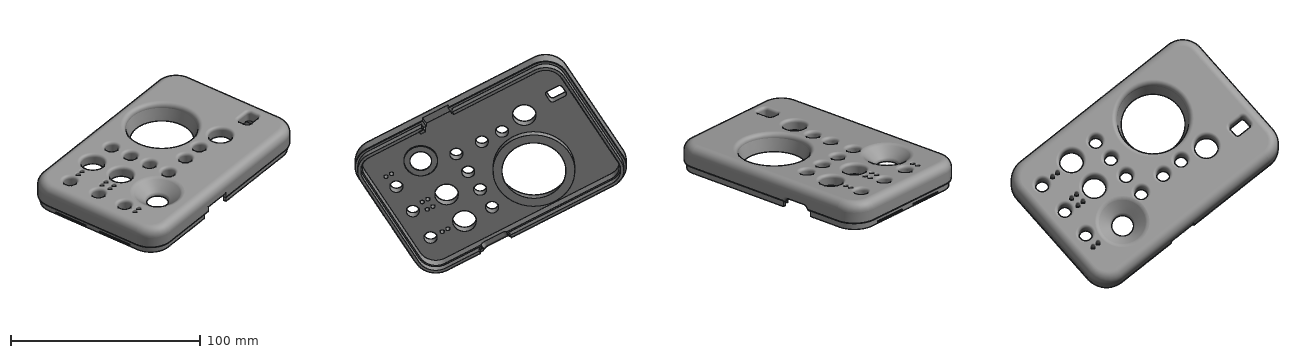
import cadquery as cq
import math

LENGTH_X = 84.6
LENGTH_Y = 127.6
HEIGHT = 15.5
BACK_LEFT_RADIUS = 12.1
BACK_RIGHT_RADIUS = 12.8
FRONT_LEFT_RADIUS = 13.4
FRONT_RIGHT_RADIUS = 12.9
TOP_EDGE_RADIUS = 5.1

SKIRT_BOTTOM = 4.0
SKIRT_CHAMFER_IN = 0.19
SKIRT_CHAMFER_UP = 0.5
LIP_INSET = 1.4
LIP_THICKNESS = 1.7
LIP_OUTER_LAYER = LIP_THICKNESS / 2
INNER_LEDGE = 0.8
LIP_INNER = LIP_INSET + LIP_THICKNESS
WALL = LIP_INNER + INNER_LEDGE
PLATE_THICKNESS = 6.0
CAVITY_TOP = HEIGHT - PLATE_THICKNESS
WALL_INNER_X = LENGTH_X / 2 - WALL

BUTTON_RIM_RADIUS = 1.8
SMALL_RADIUS = 3.5
SMALL_SIDE_HOLES = [(12.8, 14.5), (12.8, 2.2)]
SMALL_ROW_Y = -13.3
SMALL_ROW_PITCH = 12.5
SMALL_ROW_FIRST_X = -24.4
SMALL_ROW_COUNT = 4
SMALL_BOTTOM_Y = -50.7
SMALL_BOTTOM_XS = [-23.9, -5.2, 12.0]
LARGE_RADIUS = 6.3
LARGE_HOLES = [(15.5, 29.7), (-24.2, -30.1), (-5.5, -30.1)]

PIN_RADIUS = 1.08
PIN_RIM_RADIUS = 0.6
PIN_PITCH = 3.5
PIN_PAIRS = [(-23.9, -40.1), (-8.2, -40.1), (-2.9, -40.1), (20.0, -48.9)]

OPENING_CENTER = (-14.5, 18.1)
OPENING_BOTTOM_RADIUS = 16.8
OPENING_TAPER_RADIUS = 19.0
OPENING_RIM_RADIUS = 2.7
OPENING_DEPTH = 9.6
OPENING_BOSS_RADIUS = OPENING_TAPER_RADIUS + OPENING_RIM_RADIUS

BOWL_CENTER = (19.4, -31.4)
BOWL_CONE_TOP_RADIUS = 12.4
BOWL_CONE_BOTTOM_RADIUS = 6.6
BOWL_CONE_SLOPE = math.radians(37.5)
BOWL_RIM_RADIUS = 3.3
BOWL_THROAT_RADIUS = 2.4
BOWL_BOSS_RADIUS = 8.9

WINDOW_CENTER = (18.1, 50.8)
WINDOW_SIZE = (7.1, 10.0)
WINDOW_CORNER_RADIUS = 1.7
WINDOW_RIM_RADIUS = 1.8

NOTCH_Y = -20.5
NOTCH_HALF_WIDTH = 7.8
NOTCH_TOP = 5.7
NOTCH_CORNER_RADIUS = 2.3
NOTCH_EDGE_RADIUS = 1.5
NOTCH_LEG_BOTTOM = 2.4
LIP_NOTCH_SIDE_GAP = 1.7

FAR_NOTCH_END_Y = -16.8
FAR_NOTCH_TOP = 7.1
RIB_LENGTH = 2.9
RIB_DEPTH = 1.9

RIDGE_LENGTH = 19.8
RIDGE_X = 14.4
RIDGE_BOTTOM = 0.3
RIDGE_HEIGHT = 1.1
RIDGE_DEPTH = 0.5
RIDGE_BEVEL_UP = 0.9
RIDGE_BEVEL_IN = 0.4

PICK_MARGIN = 0.4


def rounded_slab(inset, bottom, top):
    """Footprint shrunk by inset, with concentric corners, between two heights."""
    right = LENGTH_X / 2 - inset
    back = LENGTH_Y / 2 - inset
    front_left = FRONT_LEFT_RADIUS - inset
    front_right = FRONT_RIGHT_RADIUS - inset
    back_left = BACK_LEFT_RADIUS - inset
    back_right = BACK_RIGHT_RADIUS - inset
    return (
        cq.Workplane("XY", origin=(0, 0, bottom))
        .moveTo(-right + front_left, -back)
        .lineTo(right - front_right, -back)
        .radiusArc((right, -back + front_right), -front_right)
        .lineTo(right, back - back_right)
        .radiusArc((right - back_right, back), -back_right)
        .lineTo(-right + back_left, back)
        .radiusArc((-right, back - back_left), -back_left)
        .lineTo(-right, -back + front_left)
        .radiusArc((-right + front_left, -back), -front_left)
        .close()
        .extrude(top - bottom)
    )


def box(x_range, y_range, z_range):
    """Axis-aligned block between three pairs of limits."""
    size = [high - low for low, high in (x_range, y_range, z_range)]
    corner = cq.Vector(x_range[0], y_range[0], z_range[0])
    return cq.Workplane(cq.Solid.makeBox(*size, corner))


def cylinder(center, radius, bottom, top):
    """Upright round bar between two heights."""
    return cq.Workplane("XY", origin=(*center, bottom)).circle(radius).extrude(top - bottom)


def turned_about(center, half_profile):
    """Solid of revolution about the vertical axis through center."""
    return half_profile.close().revolve(360, (0, 0, 0), (0, 1, 0)).translate((*center, 0))


def rimmed_hole(center, radius, rim_radius):
    """Cutter for a through hole whose top edge is rounded outwards."""
    profile = (
        cq.Workplane("XZ")
        .lineTo(radius, 0)
        .lineTo(radius, HEIGHT - rim_radius)
        .radiusArc((radius + rim_radius, HEIGHT), rim_radius)
        .lineTo(0, HEIGHT)
    )
    return turned_about(center, profile)


def opening_cutter():
    """Cutter for the big tapered opening with its rounded rim."""
    profile = (
        cq.Workplane("XZ")
        .lineTo(OPENING_BOTTOM_RADIUS, 0)
        .lineTo(OPENING_BOTTOM_RADIUS, HEIGHT - OPENING_DEPTH)
        .lineTo(OPENING_TAPER_RADIUS, HEIGHT - OPENING_RIM_RADIUS)
        .radiusArc((OPENING_TAPER_RADIUS + OPENING_RIM_RADIUS, HEIGHT), OPENING_RIM_RADIUS)
        .lineTo(0, HEIGHT)
    )
    return turned_about(OPENING_CENTER, profile)


CONE_TOP_Z = HEIGHT - BOWL_RIM_RADIUS * (1 - math.cos(BOWL_CONE_SLOPE))
CONE_DROP = (BOWL_CONE_TOP_RADIUS - BOWL_CONE_BOTTOM_RADIUS) * math.tan(BOWL_CONE_SLOPE)
CONE_BOTTOM_Z = CONE_TOP_Z - CONE_DROP
THROAT_Z = CONE_BOTTOM_Z - BOWL_THROAT_RADIUS * math.cos(BOWL_CONE_SLOPE)
THROAT_RADIUS = BOWL_CONE_BOTTOM_RADIUS - BOWL_THROAT_RADIUS * (1 - math.sin(BOWL_CONE_SLOPE))
BOWL_OUTER_RADIUS = BOWL_CONE_TOP_RADIUS + BOWL_RIM_RADIUS * math.sin(BOWL_CONE_SLOPE)


def bowl_cutter():
    """Cutter for the joystick bowl and its through hole."""
    profile = (
        cq.Workplane("XZ")
        .lineTo(THROAT_RADIUS, 0)
        .lineTo(THROAT_RADIUS, THROAT_Z)
        .radiusArc((BOWL_CONE_BOTTOM_RADIUS, CONE_BOTTOM_Z), BOWL_THROAT_RADIUS)
        .lineTo(BOWL_CONE_TOP_RADIUS, CONE_TOP_Z)
        .radiusArc((BOWL_OUTER_RADIUS, HEIGHT), BOWL_RIM_RADIUS)
        .lineTo(0, HEIGHT)
    )
    return turned_about(BOWL_CENTER, profile)


def cut_window(body):
    """Cut the rounded window through the plate and round its top edge."""
    window = (
        cq.Workplane("XY", origin=(*WINDOW_CENTER, 0))
        .rect(*WINDOW_SIZE)
        .extrude(HEIGHT)
        .edges("|Z")
        .fillet(WINDOW_CORNER_RADIUS)
    )
    reach = [size / 2 + PICK_MARGIN for size in WINDOW_SIZE]
    rim = cq.selectors.BoxSelector(
        (WINDOW_CENTER[0] - reach[0], WINDOW_CENTER[1] - reach[1], HEIGHT - PICK_MARGIN),
        (WINDOW_CENTER[0] + reach[0], WINDOW_CENTER[1] + reach[1], HEIGHT + PICK_MARGIN),
    )
    return body.cut(window).faces(">Z").edges(rim).fillet(WINDOW_RIM_RADIUS)


def notch_arch():
    """Round-shouldered bar that cuts the cable notch through the -X wall."""
    bar = box(
        (-LENGTH_X / 2, -WALL_INNER_X),
        (NOTCH_Y - NOTCH_HALF_WIDTH, NOTCH_Y + NOTCH_HALF_WIDTH),
        (NOTCH_LEG_BOTTOM, NOTCH_TOP),
    )
    return bar.edges("|X and >Z").fillet(NOTCH_CORNER_RADIUS)


def cut_notch(skirt):
    """Cut the cable notch and round its edge on the outer face."""
    reach = NOTCH_HALF_WIDTH + PICK_MARGIN
    rim = cq.selectors.BoxSelector(
        (-LENGTH_X / 2 - PICK_MARGIN, NOTCH_Y - reach, SKIRT_BOTTOM + PICK_MARGIN),
        (-LENGTH_X / 2 + PICK_MARGIN, NOTCH_Y + reach, NOTCH_TOP + PICK_MARGIN),
    )
    return skirt.cut(notch_arch()).edges(rim).fillet(NOTCH_EDGE_RADIUS)


def upper_cover():
    """Hollow cover above the lip, with its window, cable notch and chamfered skirt."""
    body = rounded_slab(0, SKIRT_BOTTOM, HEIGHT).faces(">Z").edges().fillet(TOP_EDGE_RADIUS)
    body = cut_window(body.cut(rounded_slab(WALL, SKIRT_BOTTOM, CAVITY_TOP)))
    skirt_limit = rounded_slab(0, SKIRT_BOTTOM, HEIGHT).faces("<Z").edges()
    skirt_limit = skirt_limit.chamfer(SKIRT_CHAMFER_UP, SKIRT_CHAMFER_IN)
    return cut_notch(body).intersect(skirt_limit)


def lip():
    """Recessed lip under the skirt, opened up beside both notches."""
    ring = rounded_slab(LIP_INSET, 0, SKIRT_BOTTOM).cut(rounded_slab(LIP_INNER, 0, SKIRT_BOTTOM))
    half_gap = NOTCH_HALF_WIDTH + LIP_NOTCH_SIDE_GAP
    gap = (NOTCH_Y - half_gap, NOTCH_Y + half_gap)
    layer_x = LIP_INSET + LIP_OUTER_LAYER - LENGTH_X / 2
    outer_gap = box((-LENGTH_X / 2, layer_x), gap, (0, SKIRT_BOTTOM))
    leg_gap = box((layer_x, -WALL_INNER_X), gap, (0, NOTCH_LEG_BOTTOM))
    far_start = FAR_NOTCH_END_Y - LIP_NOTCH_SIDE_GAP
    far_range = (far_start, far_start + 2 * half_gap)
    far_gap = box((WALL_INNER_X, LENGTH_X / 2), far_range, (0, SKIRT_BOTTOM))
    return ring.cut(outer_gap).cut(leg_gap).cut(far_gap).cut(notch_arch())


def far_notch():
    """Square opening through the +X wall."""
    y_range = (FAR_NOTCH_END_Y, FAR_NOTCH_END_Y + 2 * NOTCH_HALF_WIDTH)
    return box((WALL_INNER_X, LENGTH_X / 2), y_range, (SKIRT_BOTTOM, FAR_NOTCH_TOP))


def far_rib():
    """Short rib hanging from the plate against the +X wall beside its notch."""
    rib_end = FAR_NOTCH_END_Y - LIP_NOTCH_SIDE_GAP
    return box(
        (WALL_INNER_X - RIB_DEPTH, WALL_INNER_X),
        (rib_end - RIB_LENGTH, rib_end),
        (NOTCH_LEG_BOTTOM, CAVITY_TOP),
    )


def snap_ridge(center_x):
    """Bevelled snap ridge standing out from the -Y face of the lip."""
    lip_face_y = -LENGTH_Y / 2 + LIP_INSET
    block = box(
        (center_x - RIDGE_LENGTH / 2, center_x + RIDGE_LENGTH / 2),
        (lip_face_y - RIDGE_DEPTH, lip_face_y + LIP_THICKNESS),
        (RIDGE_BOTTOM, RIDGE_BOTTOM + RIDGE_HEIGHT),
    )
    return block.edges("<Y and <Z").chamfer(RIDGE_BEVEL_UP, RIDGE_BEVEL_IN)


def hole_cutters():
    """Cutters for every round hole through the top plate."""
    row = [(SMALL_ROW_FIRST_X + i * SMALL_ROW_PITCH, SMALL_ROW_Y) for i in range(SMALL_ROW_COUNT)]
    bottom_row = [(x, SMALL_BOTTOM_Y) for x in SMALL_BOTTOM_XS]
    pins = [(x, y - step) for x, y in PIN_PAIRS for step in (0, PIN_PITCH)]
    small_holes = SMALL_SIDE_HOLES + row + bottom_row
    cutters = [rimmed_hole(c, SMALL_RADIUS, BUTTON_RIM_RADIUS) for c in small_holes]
    cutters += [rimmed_hole(c, LARGE_RADIUS, BUTTON_RIM_RADIUS) for c in LARGE_HOLES]
    cutters += [rimmed_hole(c, PIN_RADIUS, PIN_RIM_RADIUS) for c in pins]
    return cutters + [opening_cutter(), bowl_cutter()]


result = upper_cover().union(lip()).cut(far_notch()).union(far_rib())
result = result.union(cylinder(OPENING_CENTER, OPENING_BOSS_RADIUS, HEIGHT - OPENING_DEPTH, HEIGHT))
result = result.union(cylinder(BOWL_CENTER, BOWL_BOSS_RADIUS, THROAT_Z, CAVITY_TOP))
for ridge_x in (-RIDGE_X, RIDGE_X):
    result = result.union(snap_ridge(ridge_x))
for cutter in hole_cutters():
    result = result.cut(cutter)